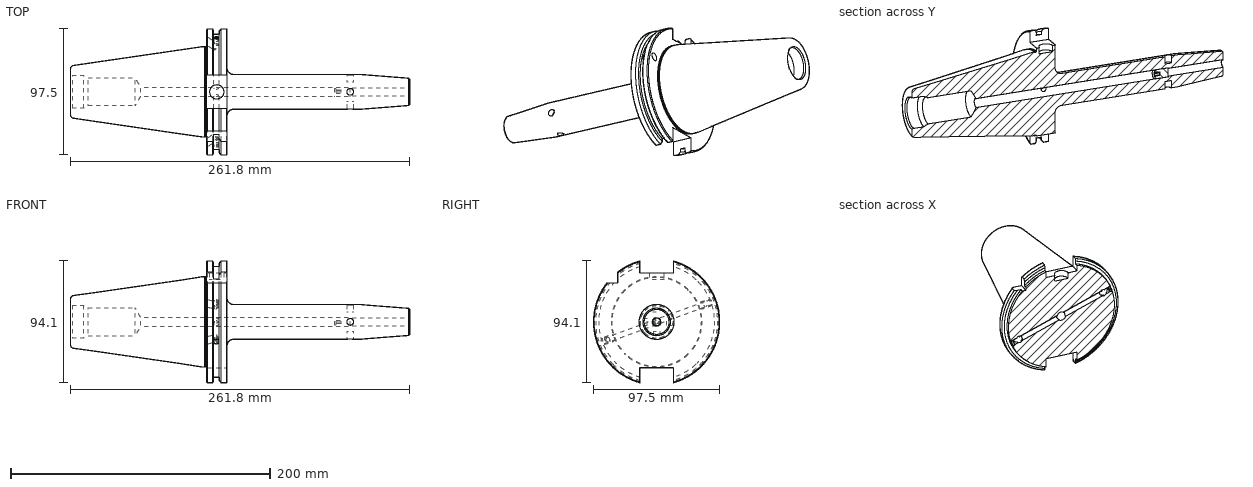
import cadquery as cq
import math


SHANK_LENGTH = 101.75
SHANK_END = -SHANK_LENGTH
GAUGE_RADIUS = 69.85 / 2
TAPER_SLOPE = 7 / 48
SHANK_END_RADIUS = GAUGE_RADIUS - SHANK_LENGTH * TAPER_SLOPE
SHANK_END_FILLET = 3.0

RELIEF_START = 1.7
RELIEF_END = 2.6
RELIEF_RADIUS = GAUGE_RADIUS - 0.5

FLANGE_START = 3.2
FLANGE_END = 19.1
FLANGE_RADIUS = 97.5 / 2
FLANGE_REAR_CHAMFER = 0.8
FLANGE_FRONT_CHAMFER = 0.5

GROOVE_CENTRE = 10.8
GROOVE_WIDTH = 4.2
GROOVE_START = GROOVE_CENTRE - GROOVE_WIDTH / 2
GROOVE_END = GROOVE_CENTRE + GROOVE_WIDTH / 2
GROOVE_FLOOR_RADIUS = 44.6
REAR_LIP_WIDTH = 0.7
FRONT_LIP_WIDTH = 1.6
LIP_DEPTH = 1.8

SLOT_WIDTH = 25.7
UPPER_SLOT_FLOOR = 37.7
LOWER_SLOT_FLOOR = 35.5
NOTCH_WALL = 30.0
NOTCH_FLOOR = 30.1
CHIP_DIAMETER = 11.0
CHIP_DEPTH = 5.0
CHIP_X = (FLANGE_START + FLANGE_END) / 2

NOSE_END = 160.0
NOSE_RADIUS = 27 / 2
NOSE_FILLET = 5.0
TIP_RADIUS = 10.6
TIP_TAPER_START = 122.0
TIP_CHAMFER = 1.0

CROSS_HOLE_COUNT = 4
CROSS_HOLE_DIAMETER = 5.2
CROSS_HOLE_DEPTH = 6.0
CROSS_HOLE_X = 114.0

MOUTH_RADIUS = 13.0
SOCKET_RADIUS = 12.5
MOUTH_CHAMFER_END = SHANK_END + 1.5
SOCKET_END = SHANK_END + 10.3
THREAD_START = SHANK_END + 13.8
THREAD_RADIUS = 10.7
THREAD_END = SHANK_END + 50.0
CHANNEL_RADIUS = 3.5
DRILL_POINT_SLOPE = math.tan(math.radians(30))
CHANNEL_START = THREAD_END + (THREAD_RADIUS - CHANNEL_RADIUS) * DRILL_POINT_SLOPE
TOOL_BORE_RADIUS = 3.0
TOOL_BORE_START = 114.0

STOP_SCREW_LENGTH = 12.0
STOP_SCREW_START = TOOL_BORE_START - STOP_SCREW_LENGTH
STOP_SCREW_DISH_RADIUS = 2.2
STOP_SCREW_DISH_DEPTH = 1.0
STOP_SCREW_HEX = 2.5
STOP_SCREW_HEX_DEPTH = 4.0

PORT_CIRCLE_RADIUS = 42.0
PORT_DIRECTION = 20.0
PORT_COUNT = 2
PORT_DIAMETER = 5.6
PORT_TILT = 35.0
PORT_END_X = GROOVE_CENTRE
FEED_DIAMETER = 4.0
PLUG_INNER_RADIUS = 42.2
PLUG_OUTER_RADIUS = 44.0


def revolve_about_x(outline):
    """Full turn of an open outline whose two ends lie on the X axis."""
    return outline.close().revolve(360, (0, 0, 0), (1, 0, 0))


def cylinder(start, direction, diameter, length):
    plane = cq.Plane(origin=start, normal=direction)
    return cq.Workplane(plane).circle(diameter / 2).extrude(length)


def radial(angle):
    """Unit vector square to the X axis, at an angle from +Y towards +Z."""
    return cq.Vector(0, math.cos(math.radians(angle)), math.sin(math.radians(angle)))


def holder_blank():
    outline = (
        cq.Workplane("XY")
        .moveTo(SHANK_END, 0)
        .lineTo(SHANK_END, SHANK_END_RADIUS)
        .lineTo(0, GAUGE_RADIUS)
        .lineTo(RELIEF_START, GAUGE_RADIUS)
        .lineTo(RELIEF_START, RELIEF_RADIUS)
        .lineTo(RELIEF_END, RELIEF_RADIUS)
        .lineTo(RELIEF_END, GAUGE_RADIUS)
        .lineTo(FLANGE_START, GAUGE_RADIUS)
        .lineTo(FLANGE_START, FLANGE_RADIUS - FLANGE_REAR_CHAMFER)
        .lineTo(FLANGE_START + FLANGE_REAR_CHAMFER, FLANGE_RADIUS)
        .lineTo(GROOVE_START - REAR_LIP_WIDTH, FLANGE_RADIUS)
        .lineTo(GROOVE_START, FLANGE_RADIUS - LIP_DEPTH)
        .lineTo(GROOVE_START, GROOVE_FLOOR_RADIUS)
        .lineTo(GROOVE_END, GROOVE_FLOOR_RADIUS)
        .lineTo(GROOVE_END, FLANGE_RADIUS - LIP_DEPTH)
        .lineTo(GROOVE_END + FRONT_LIP_WIDTH, FLANGE_RADIUS)
        .lineTo(FLANGE_END - FLANGE_FRONT_CHAMFER, FLANGE_RADIUS)
        .lineTo(FLANGE_END, FLANGE_RADIUS - FLANGE_FRONT_CHAMFER)
        .lineTo(FLANGE_END, NOSE_RADIUS + NOSE_FILLET)
        .radiusArc((FLANGE_END + NOSE_FILLET, NOSE_RADIUS), -NOSE_FILLET)
        .lineTo(TIP_TAPER_START, NOSE_RADIUS)
        .lineTo(NOSE_END - TIP_CHAMFER, TIP_RADIUS)
        .lineTo(NOSE_END, TIP_RADIUS - TIP_CHAMFER)
        .lineTo(NOSE_END, 0)
    )
    return revolve_about_x(outline).faces("<X").edges().fillet(SHANK_END_FILLET)


def bore():
    outline = (
        cq.Workplane("XY")
        .moveTo(SHANK_END, 0)
        .lineTo(SHANK_END, MOUTH_RADIUS)
        .lineTo(MOUTH_CHAMFER_END, SOCKET_RADIUS)
        .lineTo(SOCKET_END, SOCKET_RADIUS)
        .lineTo(THREAD_START, THREAD_RADIUS)
        .lineTo(THREAD_END, THREAD_RADIUS)
        .lineTo(CHANNEL_START, CHANNEL_RADIUS)
        .lineTo(TOOL_BORE_START, CHANNEL_RADIUS)
        .lineTo(TOOL_BORE_START, TOOL_BORE_RADIUS)
        .lineTo(NOSE_END, TOOL_BORE_RADIUS)
        .lineTo(NOSE_END, 0)
    )
    return revolve_about_x(outline)


def flange_cutter(y_range, z_range):
    """Block across the whole flange thickness, over the given Y and Z ranges."""
    size_x = FLANGE_END - FLANGE_START
    size_y = y_range[1] - y_range[0]
    size_z = z_range[1] - z_range[0]
    corner = (FLANGE_START, y_range[0], z_range[0])
    return cq.Workplane("XY").box(size_x, size_y, size_z, centered=False).translate(corner)


def flange_cuts():
    slot_sides = (-SLOT_WIDTH / 2, SLOT_WIDTH / 2)
    return [
        flange_cutter(slot_sides, (UPPER_SLOT_FLOOR, FLANGE_RADIUS)),
        flange_cutter(slot_sides, (-FLANGE_RADIUS, -LOWER_SLOT_FLOOR)),
        flange_cutter((-FLANGE_RADIUS, -NOTCH_WALL), (NOTCH_FLOOR, FLANGE_RADIUS)),
        cylinder((CHIP_X, 0, UPPER_SLOT_FLOOR), (0, 0, -1), CHIP_DIAMETER, CHIP_DEPTH),
    ]


def cross_hole(angle):
    outward = radial(angle)
    start = cq.Vector(CROSS_HOLE_X, 0, 0) + outward * NOSE_RADIUS
    return cylinder(start, outward * -1, CROSS_HOLE_DIAMETER, CROSS_HOLE_DEPTH)


def coolant_port(angle):
    """Inclined hole from the rear flange face down to the feed, trimmed to start at that face."""
    tilt = math.radians(PORT_TILT)
    outward = radial(angle)
    direction = cq.Vector(math.cos(tilt), 0, 0) - outward * math.sin(tilt)
    mouth = cq.Vector(FLANGE_START, 0, 0) + outward * PORT_CIRCLE_RADIUS
    lead = PORT_DIAMETER
    length = lead + (PORT_END_X - FLANGE_START) / math.cos(tilt)
    drill = cylinder(mouth - direction * lead, direction, PORT_DIAMETER, length)
    whole_flange = (-FLANGE_RADIUS, FLANGE_RADIUS)
    return drill.intersect(flange_cutter(whole_flange, whole_flange))


def coolant_feed(angle):
    """Radial hole from the groove floor to the channel on the axis."""
    return cylinder((GROOVE_CENTRE, 0, 0), radial(angle), FEED_DIAMETER, GROOVE_FLOOR_RADIUS + LIP_DEPTH)


def make_holder():
    body = holder_blank().cut(bore())
    for cutter in flange_cuts():
        body = body.cut(cutter)
    for i in range(CROSS_HOLE_COUNT):
        body = body.cut(cross_hole(i * 360 / CROSS_HOLE_COUNT))
    for angle in port_angles:
        body = body.cut(coolant_port(angle)).cut(coolant_feed(angle))
    return body


def make_feed_plug(angle):
    start = cq.Vector(GROOVE_CENTRE, 0, 0) + radial(angle) * PLUG_INNER_RADIUS
    return cylinder(start, radial(angle), FEED_DIAMETER, PLUG_OUTER_RADIUS - PLUG_INNER_RADIUS)


def make_stop_screw():
    """Screw with a dished rear end and a blind hexagon socket."""
    dish_end = STOP_SCREW_START + STOP_SCREW_DISH_DEPTH
    hex_diameter = STOP_SCREW_HEX / math.cos(math.pi / 6)
    outline = (
        cq.Workplane("XY")
        .moveTo(dish_end, 0)
        .lineTo(dish_end, STOP_SCREW_DISH_RADIUS)
        .lineTo(STOP_SCREW_START, CHANNEL_RADIUS)
        .lineTo(TOOL_BORE_START, CHANNEL_RADIUS)
        .lineTo(TOOL_BORE_START, 0)
    )
    socket_plane = cq.Workplane("YZ", origin=(dish_end, 0, 0))
    socket = socket_plane.polygon(6, hex_diameter).extrude(STOP_SCREW_HEX_DEPTH)
    return revolve_about_x(outline).cut(socket)


port_angles = [PORT_DIRECTION + i * 360 / PORT_COUNT for i in range(PORT_COUNT)]

holder = make_holder()
feed_plugs = [make_feed_plug(angle) for angle in port_angles]
stop_screw = make_stop_screw()

result = cq.Compound.makeCompound([holder.val(), *[plug.val() for plug in feed_plugs], stop_screw.val()])